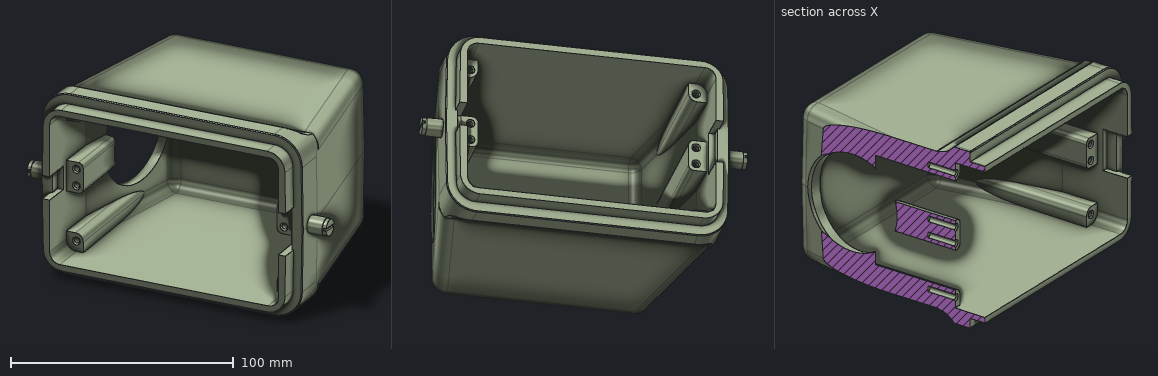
import cadquery as cq
import math

TOTAL_LENGTH = 150.0
FLANGE_HEIGHT = 88.5
HOOD_DEPTH = 98.0
SKIRT_DEPTH = 8.1
PARTING_DRAFT = 0.9
SIDE_SLOPE = 11.0

FLANGE_HALF_X = 65.5
FLANGE_CORNER = 14.0
FLANGE_RIM = 9.0
FLANGE_CHAMFER = 1.4
FLANGE_EDGE = 0.5
BLEND_END = 18.2

BODY_HALF_Z = 39.3
BODY_START = 16.5
BODY_BASE_HALF_X = 68.4
BODY_FILLET = 7.0

SKIRT_HALF_X = 61.0
SKIRT_CORNER = 9.0
SKIRT_WALL = 3.0

CAVITY_DEPTH = 90.5
MOUTH_HALF_X = 57.3
MOUTH_HALF_Z = BODY_HALF_Z - SKIRT_WALL
THROAT_HALF_X = 56.9
THROAT_Y = 27.6
CAVITY_DRAFT = 0.5
CAVITY_FILLET = 5.1

POST_FACE_Y = 8.3
POST_X = 48.6
CORNER_POST_Z = 27.2
CORNER_POST_ROUND = 3.9
MIDDLE_POST_HALF_Z = 7.5
MIDDLE_POST_ROUND = 2.4
SCREW_X = 52.0
CORNER_SCREW_Z = 31.0
MIDDLE_SCREW_Z = 4.0
SCREW_DIAMETER = 2.5
SCREW_MOUTH_DIAMETER = 3.9
SCREW_DEPTH = 15.0

ENTRY_Y = 66.0
ENTRY_DIAMETER = 48.5
ENTRY_MOUTH_DIAMETER = 50.9
ENTRY_REACH = 12.0
ENTRY_OVERRUN = 1.5

PIN_Y = 8.4
PIN_DIAMETER = 8.4
PIN_TIP_DIAMETER = 8.0
PIN_TIP_LENGTH = 2.0
PIN_SLOT_WIDTH = 1.2
PIN_SLOT_DEPTH = 1.2
PIN_SLOT_TILT = 5.0

LEFT_NOTCH_HALF_Z = 5.7
RIGHT_NOTCH_HALF_Z = 10.4
NOTCH_OUTER_X = 60.0
NOTCH_FLOOR_Y = 5.3

slope = math.tan(math.radians(SIDE_SLOPE))
draft = math.tan(math.radians(PARTING_DRAFT))


def box(x0, x1, y0, y1, z0, z1):
    return cq.Workplane("XY").box(x1 - x0, y1 - y0, z1 - z0, centered=False).translate((x0, y0, z0))


def drafted_ring(half_x, half_z, corner, y0, y1):
    """Round-cornered block along Y whose ends lean inward from the parting plane Z = 0."""
    edge_x = half_x - half_z * draft
    outline = [
        (half_x, 0), (edge_x, half_z), (-edge_x, half_z),
        (-half_x, 0), (-edge_x, -half_z), (edge_x, -half_z),
    ]
    block = cq.Workplane("XZ", origin=(0, y0, 0)).polyline(outline).close().extrude(y0 - y1)
    return block.edges("|Y").edges(">Z or <Z").fillet(corner)


def body_half_x(y):
    """Distance of the sloping end walls from the middle, on the parting plane."""
    return BODY_BASE_HALF_X - y * slope


def wedge(y0, y1, half_z):
    """Upper half of a block with sloping ends, drafted inward from the parting plane Z = 0."""
    front_x = body_half_x(y0)
    back_x = body_half_x(y1)
    outline = [(-front_x, y0), (front_x, y0), (back_x, y1), (-back_x, y1)]
    return cq.Workplane("XY").polyline(outline).close().extrude(half_z, taper=PARTING_DRAFT)


def make_body():
    """Sloping hood with its long edges and back edges rounded; the front end stays sharp."""
    outer_edges = cq.selectors.BoxSelector(
        (-FLANGE_HALF_X, BLEND_END, BODY_FILLET), (FLANGE_HALF_X, HOOD_DEPTH, FLANGE_HEIGHT)
    )
    upper = wedge(BODY_START, HOOD_DEPTH, BODY_HALF_Z).edges(outer_edges).fillet(BODY_FILLET)
    return upper.union(upper.mirror("XY"))


def make_flange():
    """Flange block trimmed by a chamfer and a concave blend that runs into the body."""
    half_z = FLANGE_HEIGHT / 2
    block = drafted_ring(FLANGE_HALF_X, half_z, FLANGE_CORNER, 0, BLEND_END)
    block = block.faces("<Y").chamfer(FLANGE_EDGE)
    arc_start = (FLANGE_RIM + FLANGE_CHAMFER, half_z - FLANGE_CHAMFER)
    radius = (BLEND_END - arc_start[0]) / math.sin(math.pi / 4)
    blend_z = arc_start[1] - radius * (1 - math.cos(math.pi / 4))
    arc_mid = (
        BLEND_END - radius * math.sin(math.pi / 8),
        blend_z + radius * (1 - math.cos(math.pi / 8)),
    )
    trim = (
        cq.Workplane("YZ").moveTo(0, 0).lineTo(0, half_z).lineTo(FLANGE_RIM, half_z)
        .lineTo(*arc_start).threePointArc(arc_mid, (BLEND_END, blend_z)).lineTo(BLEND_END, 0).close()
        .extrude(TOTAL_LENGTH / 2, both=True)
    )
    trim = trim.intersect(wedge(-FLANGE_RIM, HOOD_DEPTH, half_z))
    return block.intersect(trim.union(trim.mirror("XY")))


def make_cavity():
    """Hollow with nearly straight walls at the mouth and end walls that close in beyond the throat."""
    floor_x = THROAT_HALF_X - (CAVITY_DEPTH - THROAT_Y) * slope
    plan = (
        cq.Workplane("XY")
        .polyline([
            (-MOUTH_HALF_X, -SKIRT_DEPTH), (MOUTH_HALF_X, -SKIRT_DEPTH), (THROAT_HALF_X, THROAT_Y),
            (floor_x, CAVITY_DEPTH), (-floor_x, CAVITY_DEPTH), (-THROAT_HALF_X, THROAT_Y),
        ])
        .close().extrude(BODY_HALF_Z, both=True)
    )
    floor_z = MOUTH_HALF_Z - (CAVITY_DEPTH + SKIRT_DEPTH) * math.tan(math.radians(CAVITY_DRAFT))
    height = (
        cq.Workplane("YZ")
        .polyline([
            (-SKIRT_DEPTH, -MOUTH_HALF_Z), (-SKIRT_DEPTH, MOUTH_HALF_Z),
            (CAVITY_DEPTH, floor_z), (CAVITY_DEPTH, -floor_z),
        ])
        .close().extrude(TOTAL_LENGTH / 2, both=True)
    )
    cavity = plan.intersect(height)
    floor_edges = cavity.faces(">Y").edges()
    corner_edges = cavity.edges("not(|X or |Z)")
    return cavity.newObject(floor_edges.vals() + corner_edges.vals()).fillet(CAVITY_FILLET)


def make_posts():
    """Four corner posts and one middle post at each end."""
    posts = cq.Workplane("XY")
    for side in (-1, 1):
        middle = box(POST_X, FLANGE_HALF_X, POST_FACE_Y, HOOD_DEPTH, -MIDDLE_POST_HALF_Z, MIDDLE_POST_HALF_Z)
        middle = middle.edges("|Y and <X").fillet(MIDDLE_POST_ROUND)
        corner = box(POST_X, FLANGE_HALF_X, POST_FACE_Y, HOOD_DEPTH, CORNER_POST_Z, BODY_HALF_Z)
        corner = corner.edges("|Y and <X and <Z").fillet(CORNER_POST_ROUND)
        group = middle.union(corner).union(corner.mirror("XY"))
        posts = posts.union(group if side > 0 else group.mirror("YZ"))
    return posts


def make_screw_holes():
    """Blind holes with a chamfered mouth in the faces of all posts."""
    centers = [
        (x, z) for x in (-SCREW_X, SCREW_X)
        for z in (-CORNER_SCREW_Z, -MIDDLE_SCREW_Z, MIDDLE_SCREW_Z, CORNER_SCREW_Z)
    ]
    chamfer = (SCREW_MOUTH_DIAMETER - SCREW_DIAMETER) / 2
    hole = (
        cq.Workplane("XY")
        .polyline([
            (0, 0), (SCREW_MOUTH_DIAMETER / 2, 0), (SCREW_DIAMETER / 2, chamfer),
            (SCREW_DIAMETER / 2, SCREW_DEPTH), (0, SCREW_DEPTH),
        ])
        .close().revolve(360, (0, 0), (0, 1))
    )
    holes = cq.Workplane("XY")
    for x, z in centers:
        holes = holes.union(hole.translate((x, POST_FACE_Y, z)))
    return holes


def make_entry():
    """Chamfered round opening, square to the sloping -X wall."""
    chamfer = (ENTRY_MOUTH_DIAMETER - ENTRY_DIAMETER) / 2
    angle = math.radians(SIDE_SLOPE)
    plane = cq.Plane(
        origin=(-body_half_x(ENTRY_Y), ENTRY_Y, 0),
        xDir=(0, 0, 1),
        normal=(math.cos(angle), -math.sin(angle), 0),
    )
    bore = (
        cq.Workplane(plane).workplane(offset=-ENTRY_OVERRUN)
        .circle(ENTRY_DIAMETER / 2).extrude(ENTRY_OVERRUN + ENTRY_REACH)
    )
    mouth = cq.Workplane(plane).circle(ENTRY_MOUTH_DIAMETER / 2).extrude(chamfer, taper=45)
    return bore.union(mouth)


def make_pin():
    """Locking pin on the +X side with a driver slot in its tip."""
    end_x = TOTAL_LENGTH / 2
    root_x = NOTCH_OUTER_X
    tip_x = end_x - PIN_TIP_LENGTH
    pin = cq.Workplane("YZ", origin=(root_x, PIN_Y, 0)).circle(PIN_DIAMETER / 2).extrude(tip_x - root_x)
    tip = cq.Workplane("YZ", origin=(tip_x, PIN_Y, 0)).circle(PIN_TIP_DIAMETER / 2).extrude(PIN_TIP_LENGTH)
    slot = (
        cq.Workplane("YZ", origin=(end_x - PIN_SLOT_DEPTH, PIN_Y, 0))
        .transformed(rotate=(0, 0, -PIN_SLOT_TILT))
        .rect(2 * PIN_DIAMETER, PIN_SLOT_WIDTH).extrude(PIN_SLOT_DEPTH)
    )
    return pin.union(tip).cut(slot)


def make_notch(half_z):
    """Gap through the +X end of the skirt that continues as a shallow recess in the inner wall."""
    gap = box(THROAT_HALF_X, FLANGE_HALF_X, -SKIRT_DEPTH, 0, -half_z, half_z)
    recess = box(THROAT_HALF_X, NOTCH_OUTER_X, 0, NOTCH_FLOOR_Y, -half_z, half_z)
    return gap.union(recess)


shell = make_body().union(make_flange())
skirt = drafted_ring(SKIRT_HALF_X, BODY_HALF_Z, SKIRT_CORNER, -SKIRT_DEPTH, FLANGE_RIM)
posts = make_posts().intersect(shell)
pin = make_pin()

result = shell.union(skirt).cut(make_cavity()).union(posts)
result = result.cut(make_screw_holes()).cut(make_entry())
result = result.cut(make_notch(RIGHT_NOTCH_HALF_Z)).cut(make_notch(LEFT_NOTCH_HALF_Z).mirror("YZ"))
result = result.union(pin).union(pin.mirror("YZ"))